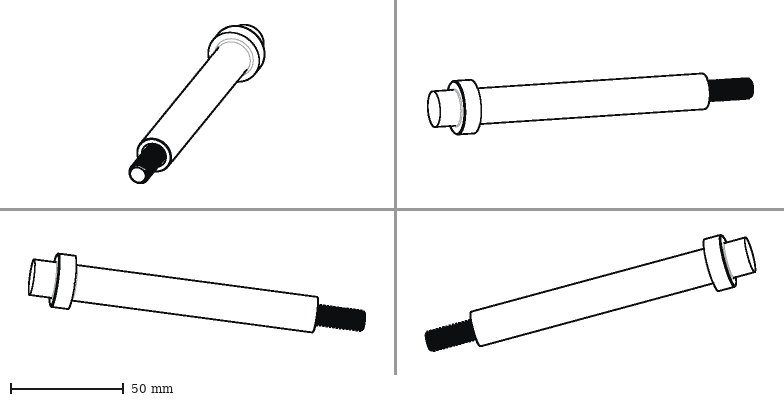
import cadquery as cq
import math

total_length = 150.0
tip_y = -total_length / 2
head_end_y = total_length / 2

head_length = 10.0
collar_length = 8.0
stud_reach = 22.0
shaft_diameter = 16.0
collar_diameter = 24.0
collar_chamfer = 0.5
head_fillet = 0.5
shaft_fillet = 1.0
shaft_end_chamfer = 0.3
collar_back_y = head_end_y - head_length
collar_front_y = collar_back_y - collar_length
shaft_end_y = tip_y + stud_reach

thread_diameter = 9.3
thread_root_diameter = 8.1
thread_pitch = 1.5
thread_angle = -68.0
tip_chamfer = 1.0
countersink_diameter = 11.4
hole_depth = 15.0
thread_radius = thread_diameter / 2
root_radius = thread_root_diameter / 2
countersink_depth = (countersink_diameter - thread_diameter) / 2
thread_start_y = shaft_end_y + countersink_depth
hole_bottom_y = shaft_end_y + hole_depth
thread_length = thread_start_y - tip_y
stud_length = stud_reach + hole_depth

crest_width = thread_pitch / 8
flank_slope = math.tan(math.radians(30))
groove_overcut = 0.2


def make_handle():
    shaft_radius = shaft_diameter / 2
    collar_radius = collar_diameter / 2
    body = (
        cq.Workplane("XY")
        .moveTo(0, head_end_y)
        .lineTo(shaft_radius, head_end_y)
        .lineTo(shaft_radius, collar_back_y + head_fillet)
        .radiusArc((shaft_radius + head_fillet, collar_back_y), -head_fillet)
        .lineTo(collar_radius - collar_chamfer, collar_back_y)
        .lineTo(collar_radius, collar_back_y - collar_chamfer)
        .lineTo(collar_radius, collar_front_y)
        .lineTo(shaft_radius + shaft_fillet, collar_front_y)
        .radiusArc((shaft_radius, collar_front_y - shaft_fillet), -shaft_fillet)
        .lineTo(shaft_radius, shaft_end_y + shaft_end_chamfer)
        .lineTo(shaft_radius - shaft_end_chamfer, shaft_end_y)
        .lineTo(0, shaft_end_y)
        .close()
        .revolve(360, (0, 0, 0), (0, 1, 0))
    )
    stud_hole = (
        cq.Workplane("XY")
        .polyline([
            (0, shaft_end_y),
            (countersink_diameter / 2, shaft_end_y),
            (thread_radius, thread_start_y),
            (thread_radius, hole_bottom_y),
            (0, hole_bottom_y),
        ])
        .close()
        .revolve(360, (0, 0, 0), (0, 1, 0))
    )
    return body.cut(stud_hole)


def make_thread_groove():
    """Helical groove about Z, from one pitch below the tip at Z = 0 up to the end of the thread."""
    outer_radius = thread_radius + groove_overcut
    half_mouth = (thread_pitch - crest_width) / 2 + groove_overcut * flank_slope
    half_root = half_mouth - (outer_radius - root_radius) * flank_slope
    helix = cq.Wire.makeHelix(thread_pitch, thread_length + thread_pitch, thread_radius)
    return (
        cq.Workplane("XZ")
        .polyline([
            (outer_radius, -half_mouth),
            (root_radius, -half_root),
            (root_radius, half_root),
            (outer_radius, half_mouth),
        ])
        .close()
        .sweep(cq.Workplane(helix), isFrenet=True)
        .translate((0, 0, -thread_pitch))
    )


def make_stud():
    """Stud cut standing on its tip along Z, then turned to its thread angle and laid along Y."""
    blank = (
        cq.Workplane("XZ")
        .polyline([
            (0, 0),
            (thread_radius - tip_chamfer, 0),
            (thread_radius, tip_chamfer),
            (thread_radius, stud_length),
            (0, stud_length),
        ])
        .close()
        .revolve(360, (0, 0, 0), (0, 1, 0))
    )
    return (
        blank.cut(make_thread_groove())
        .rotate((0, 0, 0), (0, 0, 1), thread_angle)
        .rotate((0, 0, 0), (1, 0, 0), -90)
        .translate((0, tip_y, 0))
    )


handle = make_handle()
stud = make_stud()
result = cq.Compound.makeCompound([handle.val(), stud.val()])